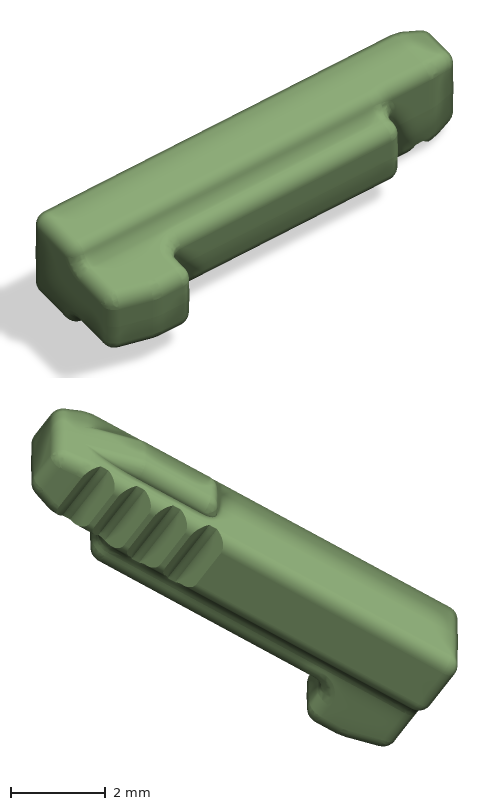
import cadquery as cq
import math

LENGTH = 10.11
EDGE_RADIUS = 0.3
DRAFT_ANGLE = 1.0
TAPER_ANGLE = 15.0

BODY_WIDTH = 1.52
BODY_HEIGHT = 2.32
TIP_LENGTH = 0.71
TIP_BLEND_RADIUS = 1.01

WIDENING = 0.06
EASE_LENGTH = 0.51

BLADE_LENGTH = 8.09
BLADE_REACH = 2.22
BLADE_THICKNESS = 1.61
FOOT_REACH = 3.16
FOOT_LENGTH = 2.02
FOOT_TAPER_LENGTH = 1.06
FOOT_BLEND_RADIUS = 0.86

PAD_RISE = 0.31
PAD_THICKNESS = 1.2
PAD_START = 6.2
PAD_START_ANGLE = 30.0
PAD_BLEND_RADIUS = 0.3

GROOVE_COUNT = 4
GROOVE_PITCH = 0.91
FIRST_GROOVE = 6.29
GROOVE_DEPTH = 0.29
GROOVE_FLOOR = 0.19

OVERRUN = 0.51
EMBED = 0.3
CATCH = 0.04

TAPER_SLOPE = math.tan(math.radians(TAPER_ANGLE))
PAD_START_SLOPE = math.tan(math.radians(PAD_START_ANGLE))
HALF_HEIGHT = BODY_HEIGHT / 2
HALF_BLADE = BLADE_THICKNESS / 2
HALF_PAD = PAD_THICKNESS / 2
SHOULDER = LENGTH - TIP_LENGTH
TIP_INSET = TIP_LENGTH * TAPER_SLOPE
WIDE_WIDTH = BODY_WIDTH + WIDENING
EASE_START = BLADE_LENGTH - EDGE_RADIUS
EASE_END = EASE_START + EASE_LENGTH
FOOT_END_REACH = FOOT_REACH - FOOT_TAPER_LENGTH * TAPER_SLOPE


def drafted_half(outline, height):
    """Extrude a closed outline up from Z = 0 with its upright faces leaning inwards."""
    return outline.close().extrude(height, taper=DRAFT_ANGLE)


def round_upright(solid, x, y, radius):
    """Round the upright edge that stands near (x, y)."""
    low = (x - CATCH, y - CATCH, CATCH)
    high = (x + CATCH, y + CATCH, HALF_HEIGHT - CATCH)
    return solid.edges(cq.selectors.BoxSelector(low, high)).fillet(radius)


def body_outline():
    """Plan of the body, running past both ends of the finished part."""
    ease_radius = (EASE_LENGTH**2 + WIDENING**2) / (4 * WIDENING)
    half_turn = math.asin(EASE_LENGTH / 2 / ease_radius) / 2
    along = ease_radius * math.sin(half_turn)
    across = ease_radius * (1 - math.cos(half_turn))
    ease_middle = (BODY_WIDTH + WIDENING / 2, EASE_START + EASE_LENGTH / 2)
    return (
        cq.Workplane("XY")
        .moveTo(0, -OVERRUN)
        .lineTo(WIDE_WIDTH, -OVERRUN)
        .lineTo(WIDE_WIDTH, EASE_START)
        .threePointArc((WIDE_WIDTH - across, EASE_START + along), ease_middle)
        .threePointArc((BODY_WIDTH + across, EASE_END - along), (BODY_WIDTH, EASE_END))
        .lineTo(BODY_WIDTH, SHOULDER)
        .lineTo(BODY_WIDTH - 2 * TIP_INSET, LENGTH + TIP_LENGTH)
        .lineTo(2 * TIP_INSET, LENGTH + TIP_LENGTH)
        .lineTo(0, SHOULDER)
    )


def body_side_envelope():
    """Block that ends the body at LENGTH and tapers the top of its tip."""
    block = (
        cq.Workplane("YZ")
        .polyline([
            (-OVERRUN, 0),
            (LENGTH, 0),
            (LENGTH, HALF_HEIGHT - TIP_INSET),
            (SHOULDER, HALF_HEIGHT),
            (-OVERRUN, HALF_HEIGHT),
        ])
        .close()
        .extrude(BODY_WIDTH + OVERRUN, both=True)
    )
    shoulder_edge = cq.selectors.NearestToPointSelector((0, SHOULDER, HALF_HEIGHT))
    return block.edges(shoulder_edge).fillet(TIP_BLEND_RADIUS)


def make_body():
    body = drafted_half(body_outline(), HALF_HEIGHT)
    for x in (0, BODY_WIDTH):
        body = round_upright(body, x, SHOULDER, TIP_BLEND_RADIUS)
    body = body.intersect(body_side_envelope())
    for x in (TIP_INSET, BODY_WIDTH - TIP_INSET):
        body = round_upright(body, x, LENGTH, EDGE_RADIUS)
    rim = cq.selectors.NearestToPointSelector((BODY_WIDTH / 2, LENGTH, HALF_HEIGHT - TIP_INSET))
    return body.edges(rim).fillet(EDGE_RADIUS)


def make_hook():
    blade_outline = cq.Workplane("XY").polyline([
        (EMBED, -OVERRUN),
        (BLADE_REACH, -OVERRUN),
        (BLADE_REACH, BLADE_LENGTH),
        (EMBED, BLADE_LENGTH),
    ])
    foot_outline = cq.Workplane("XY").polyline([
        (EMBED, -OVERRUN),
        (FOOT_END_REACH - OVERRUN * TAPER_SLOPE, -OVERRUN),
        (FOOT_REACH, FOOT_TAPER_LENGTH),
        (FOOT_REACH, FOOT_LENGTH),
        (EMBED, FOOT_LENGTH),
    ])
    hook = drafted_half(blade_outline, HALF_BLADE).union(drafted_half(foot_outline, HALF_BLADE))
    hook = round_upright(hook, FOOT_REACH, FOOT_TAPER_LENGTH, FOOT_BLEND_RADIUS)
    hook = round_upright(hook, FOOT_REACH, FOOT_LENGTH, EDGE_RADIUS)
    hook = round_upright(hook, BLADE_REACH, FOOT_LENGTH, EDGE_RADIUS)
    hook = round_upright(hook, BLADE_REACH, BLADE_LENGTH, EDGE_RADIUS)
    rim = cq.selectors.NearestToPointSelector((BLADE_REACH, (FOOT_LENGTH + BLADE_LENGTH) / 2, HALF_BLADE))
    return hook.edges(rim).fillet(EDGE_RADIUS)


def join_hook(body, hook):
    """Merge body and hook with a concave fillet in the corner between them."""
    joined = body.union(hook)
    corner = cq.selectors.NearestToPointSelector((BODY_WIDTH, BLADE_LENGTH, HALF_BLADE / 4))
    return joined.edges(corner).fillet(EDGE_RADIUS)


def finish_flat_end(solid):
    """Trim the stock below Y = 0 and round the outline of the flat end."""
    stock = cq.Workplane("XY").box(2 * FOOT_REACH, OVERRUN, HALF_HEIGHT, centered=(True, False, False))
    trimmed = solid.cut(stock.translate((0, -OVERRUN, 0)))
    return round_upright(trimmed, 0, 0, EDGE_RADIUS)


def make_pad():
    """Upper half of the pad; its long taper lies in the plane of the tip's taper."""
    start_y = PAD_START + PAD_RISE * PAD_START_SLOPE
    taper_y = SHOULDER - PAD_RISE / TAPER_SLOPE
    taper_tail = TIP_INSET / 2
    outline = cq.Workplane("XY").polyline([
        (EMBED, PAD_START - EMBED * PAD_START_SLOPE),
        (-PAD_RISE, start_y),
        (-PAD_RISE, taper_y),
        (taper_tail, SHOULDER + TIP_LENGTH / 2),
        (EMBED, SHOULDER),
    ])
    pad = drafted_half(outline, HALF_PAD)
    pad = round_upright(pad, -PAD_RISE, start_y, EDGE_RADIUS)
    pad = round_upright(pad, -PAD_RISE, taper_y, PAD_BLEND_RADIUS)
    rim = cq.selectors.NearestToPointSelector((-PAD_RISE, (start_y + taper_y) / 2, HALF_PAD))
    return pad.edges(rim).fillet(EDGE_RADIUS)


def make_grooves():
    """Trapezoidal cutters with 45 degree flanks, running across the underside."""
    floor_z = GROOVE_DEPTH - HALF_HEIGHT
    half_floor = GROOVE_FLOOR / 2
    half_mouth = half_floor + GROOVE_DEPTH
    grooves = cq.Workplane("YZ")
    for i in range(GROOVE_COUNT):
        y = FIRST_GROOVE + i * GROOVE_PITCH
        grooves = (
            grooves.polyline([
                (y - half_mouth, -HALF_HEIGHT),
                (y - half_floor, floor_z),
                (y + half_floor, floor_z),
                (y + half_mouth, -HALF_HEIGHT),
            ])
            .close()
        )
    return grooves.extrude(FOOT_REACH)


upper_half = finish_flat_end(join_hook(make_body(), make_hook())).union(make_pad())
whole = upper_half.union(upper_half.mirror("XY"))
result = whole.cut(make_grooves())